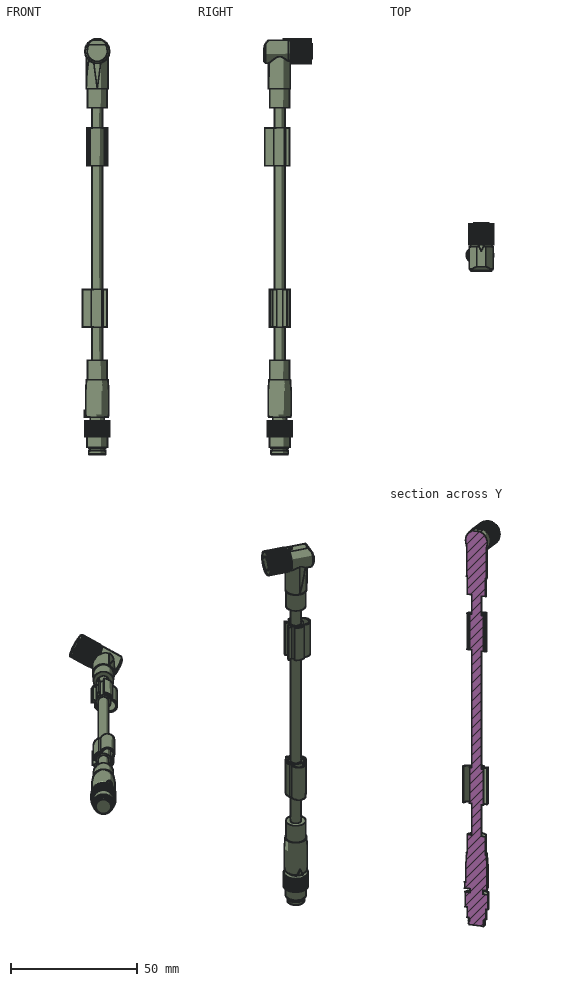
import cadquery as cq
import math

total_height = 165.0
cable_radius = 2.1

sleeve_radius = 4.0
grip_radius = 4.6
plug_tip_radius = 3.5
plug_tip_chamfer = 0.5
plug_groove_radius = 3.0
plug_groove_bottom = 1.7
plug_groove_top = 2.5
thread_bottom = 3.0
thread_radius = 4.1
plug_nut_bottom = 7.3
plug_nut_top = 13.5
plug_neck_radius = 2.8
grip_bottom = 15.0
grip_edge_height = 1.0
grip_edge_inset = 0.25
grip_shoulder = 25.5
collar_radius = 4.3
collar_top = 29.9
plug_sleeve_top = 37.6

nut_radius = 5.0
knurl_depth = 0.25
knurl_count = 60

barrel_radius = 4.8
barrel_z = total_height - nut_radius
barrel_flat_height = 4.5
barrel_front_y = -6.3
barrel_back_y = 3.3
barrel_chamfer = 0.8
socket_neck_radius = 4.3
socket_nut_start_y = 4.1
socket_nut_end_y = 12.5
socket_tip_radius = 3.0
socket_tip_y = 12.9
stem_radius = 4.3
stem_bottom = 145.2
socket_sleeve_bottom = 137.7

facet_low = (barrel_front_y, 161.3)
facet_middle = (-6.0, 162.7)
facet_top = (-4.1, total_height)

front_rib_radius = 4.6
front_rib_width = 3.1
front_rib_top = 156.8
side_rib_radius = 4.5
side_rib_width = 3.3
side_rib_top = 159.1

arrow_width = 2.3
arrow_length = 2.6
arrow_relief = 0.5

clip_length = 15.0
upper_clip_bottom = 114.7
lower_clip_bottom = 50.7
clip_ring_radius = 3.0
tube_radius = 2.8
tube_reach = 6.0
tube_wall = 0.58
wing_radius = 4.1
wing_wall = 0.7
wing_front = -2.3
wing_back = 1.8
lip_outer_x = 2.8
lip_inner_x = 1.2
lip_back = 4.0
lip_front = 2.1


def post(radius, bottom, top):
    """Round post on the Z axis."""
    return cq.Workplane("XY").workplane(offset=bottom).circle(radius).extrude(top - bottom)


def rod(radius, start_y, end_y):
    """Round rod along the barrel axis, from start_y toward +Y."""
    plane = cq.Plane(origin=(0, start_y, barrel_z), xDir=(1, 0, 0), normal=(0, 1, 0))
    return cq.Workplane(plane).circle(radius).extrude(end_y - start_y)


def knurled_nut(length):
    """Nut standing on the XY plane with V-shaped knurling all round."""
    points = []
    for i in range(2 * knurl_count):
        radius = nut_radius if i % 2 == 0 else nut_radius - knurl_depth
        angle = math.pi * i / knurl_count
        points.append((radius * math.cos(angle), radius * math.sin(angle)))
    return cq.Workplane("XY").polyline(points).close().extrude(length)


def straight_plug():
    """Turned plug body with its knurled nut and arrow mark."""
    profile = [
        (0, 0),
        (plug_tip_radius - plug_tip_chamfer, 0),
        (plug_tip_radius, plug_tip_chamfer),
        (plug_tip_radius, plug_groove_bottom),
        (plug_groove_radius, plug_groove_bottom),
        (plug_groove_radius, plug_groove_top),
        (plug_tip_radius, plug_groove_top),
        (plug_tip_radius, thread_bottom),
        (thread_radius, thread_bottom),
        (thread_radius, plug_nut_bottom),
        (plug_neck_radius, plug_nut_bottom),
        (plug_neck_radius, grip_bottom),
        (grip_radius - grip_edge_inset, grip_bottom),
        (grip_radius, grip_bottom + grip_edge_height),
        (grip_radius, grip_shoulder),
        (collar_radius, collar_top),
        (sleeve_radius, collar_top),
        (sleeve_radius, plug_sleeve_top),
        (0, plug_sleeve_top),
    ]
    body = cq.Workplane("XZ").polyline(profile).close().revolve(360, (0, 0, 0), (0, 1, 0))
    nut = knurled_nut(plug_nut_top - plug_nut_bottom).translate((0, 0, plug_nut_bottom))
    arrow = (
        cq.Workplane("YZ")
        .polyline([
            (-arrow_width / 2, grip_bottom),
            (arrow_width / 2, grip_bottom),
            (0, grip_bottom + arrow_length),
        ])
        .close()
        .extrude(-(grip_radius + arrow_relief))
    )
    return body.union(nut).union(arrow)


def barrel():
    """Barrel with a flat top, chamfered front rim, sloped front facets and arrow mark."""
    body = rod(barrel_radius, barrel_front_y, barrel_back_y).faces("<Y").chamfer(barrel_chamfer)
    flat_z = barrel_z + barrel_flat_height
    above_flat = (
        cq.Workplane("XY")
        .workplane(offset=flat_z)
        .rect(4 * barrel_radius, 4 * barrel_radius)
        .extrude(barrel_radius)
    )
    front_corner = (
        cq.Workplane("YZ")
        .polyline([facet_low, facet_middle, facet_top, (barrel_front_y, total_height)])
        .close()
        .extrude(barrel_radius, both=True)
    )
    arrow = (
        cq.Workplane("XY")
        .workplane(offset=barrel_z)
        .polyline([
            (-arrow_width / 2, socket_nut_start_y),
            (arrow_width / 2, socket_nut_start_y),
            (0, socket_nut_start_y - arrow_length),
        ])
        .close()
        .extrude(barrel_flat_height + arrow_relief)
    )
    return body.cut(above_flat).cut(front_corner).union(arrow)


def stem_ribs():
    """Ribs that taper to a point at the foot of the stem, one on -Y and one on -X."""
    front = (
        cq.Workplane("XZ")
        .polyline([
            (-front_rib_width / 2, front_rib_top),
            (front_rib_width / 2, front_rib_top),
            (0, stem_bottom),
        ])
        .close()
        .extrude(front_rib_radius)
        .intersect(post(front_rib_radius, stem_bottom, barrel_z))
    )
    side = (
        cq.Workplane("YZ")
        .polyline([(0, side_rib_top), (-side_rib_width, side_rib_top), (0, stem_bottom)])
        .close()
        .extrude(-side_rib_radius)
        .intersect(post(side_rib_radius, stem_bottom, barrel_z))
    )
    return front.union(side)


def angled_socket():
    """Stem, barrel and knurled nut that points to +Y."""
    nut = (
        knurled_nut(socket_nut_end_y - socket_nut_start_y)
        .rotate((0, 0, 0), (1, 0, 0), -90)
        .translate((0, socket_nut_start_y, barrel_z))
    )
    return (
        post(stem_radius, stem_bottom, barrel_z)
        .union(post(sleeve_radius, socket_sleeve_bottom, stem_bottom))
        .union(stem_ribs())
        .union(barrel())
        .union(rod(socket_neck_radius, 0, socket_nut_start_y))
        .union(nut)
        .union(rod(socket_tip_radius, 0, socket_tip_y))
    )


def slab(left, right, front, back):
    """Rectangular block as tall as a clip."""
    return (
        cq.Workplane("XY")
        .center((left + right) / 2, (front + back) / 2)
        .rect(right - left, back - front)
        .extrude(clip_length)
    )


def marker_clip():
    """Snap-on clip: ring, label tube on -Y, curved side wings, rear lips on +Y."""
    ring = cq.Workplane("XY").circle(clip_ring_radius).extrude(clip_length)
    label_tube = (
        cq.Workplane("XY")
        .center(0, tube_radius - tube_reach)
        .circle(tube_radius)
        .circle(tube_radius - tube_wall)
        .extrude(clip_length)
    )
    wings = (
        cq.Workplane("XY")
        .circle(wing_radius)
        .circle(wing_radius - wing_wall)
        .extrude(clip_length)
        .intersect(slab(-wing_radius, wing_radius, wing_front, wing_back))
    )
    wing_root_x = math.sqrt(wing_radius**2 - wing_front**2)
    web_length = wing_root_x - tube_radius + tube_wall
    web = slab(-web_length / 2, web_length / 2, wing_front, wing_front + wing_wall)
    clip = ring.union(label_tube).union(wings)
    for side in (-1, 1):
        lip = (
            cq.Workplane("XY")
            .polyline([
                (side * lip_inner_x, lip_front),
                (side * clip_ring_radius / 2, lip_front),
                (side * lip_outer_x, lip_back),
                (side * lip_inner_x, lip_back),
            ])
            .close()
            .extrude(clip_length)
        )
        side_web = web.translate((side * (wing_root_x - web_length / 2), 0, 0))
        clip = clip.union(lip).union(side_web)
    return clip


cable = post(cable_radius, plug_sleeve_top, socket_sleeve_bottom)
upper_clip = marker_clip().translate((0, 0, upper_clip_bottom))
lower_clip = marker_clip().rotate((0, 0, 0), (0, 0, 1), -90).translate((0, 0, lower_clip_bottom))

result = straight_plug().union(cable).union(upper_clip).union(lower_clip).union(angled_socket())